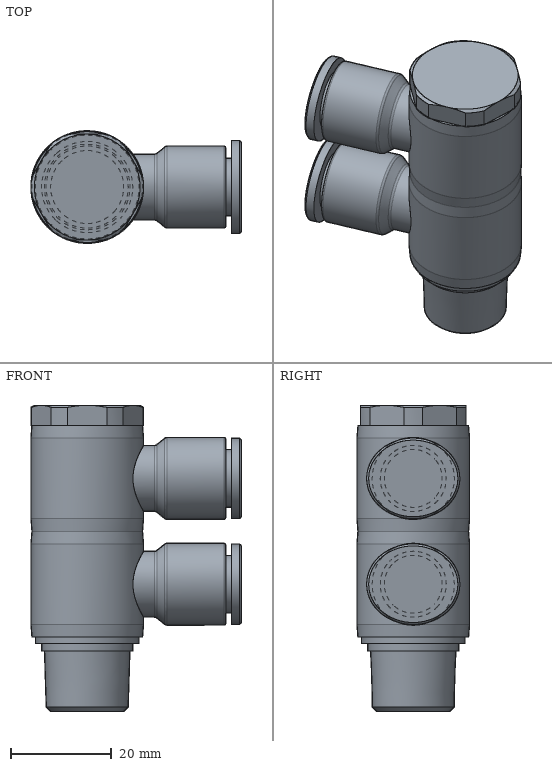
import cadquery as cq
import math

overall_height = 60.8

head_height = 4.0
head_across_flats = 21.0
head_chamfer_angle = 30.0

body_count = 2
body_radius = 11.2
body_end_radius = 11.0
body_straight_length = 16.0
body_taper_length = 2.5
body_length = body_straight_length + 2 * body_taper_length
bodies_top = overall_height - head_height
bodies_bottom = bodies_top - body_count * body_length

washer_radius = 10.3
washer_height = 1.3
shoulder_radius = 9.05
shoulder_height = 1.45

thread_top_radius = 8.5
thread_taper = 1 / 16
thread_chamfer = 0.9

branch_neck_radius = 6.55
branch_radius = 8.15
branch_cone_start = 13.6
branch_cone_end = 15.6
branch_end = 27.5
branch_blend_radius = 0.8
edge_search_margin = 0.1
branch_end_fillet = 0.4

collar_stem_radius = 5.75
collar_start = 28.6
collar_end = 30.65
collar_half_width = 9.25
collar_half_height = 8.0
collar_chamfer = 0.4


def cylinder(radius, bottom, top):
    return cq.Workplane("XY").workplane(offset=bottom).circle(radius).extrude(top - bottom)


def make_head():
    """Hexagon with flats at +-Y, trimmed by a round blank chamfered on top."""
    chamfer_width = body_radius - head_across_flats / 2
    chamfer_depth = chamfer_width * math.tan(math.radians(head_chamfer_angle))
    across_corners = head_across_flats / math.cos(math.pi / 6)
    hexagon = cq.Workplane("XY").workplane(offset=bodies_top).polygon(6, across_corners).extrude(head_height)
    blank = cylinder(body_radius, bodies_top, overall_height)
    blank = blank.faces(">Z").edges().chamfer(chamfer_depth, chamfer_width)
    return hexagon.intersect(blank)


def make_body(bottom):
    """One banjo body, revolved about Z."""
    top = bottom + body_length
    return (
        cq.Workplane("XZ")
        .moveTo(0, bottom)
        .lineTo(body_end_radius, bottom)
        .lineTo(body_radius, bottom + body_taper_length)
        .lineTo(body_radius, top - body_taper_length)
        .lineTo(body_end_radius, top)
        .lineTo(0, top)
        .close()
        .revolve(360, (0, 0, 0), (0, 1, 0))
    )


def make_thread_end():
    """Washer, shoulder and tapered thread below the bodies."""
    washer_bottom = bodies_bottom - washer_height
    thread_top = washer_bottom - shoulder_height
    washer = cylinder(washer_radius, washer_bottom, bodies_bottom)
    shoulder = cylinder(shoulder_radius, thread_top, washer_bottom)
    thread_end_radius = thread_top_radius - (thread_top - thread_chamfer) * thread_taper / 2
    thread = (
        cq.Workplane("XZ")
        .moveTo(0, 0)
        .lineTo(thread_end_radius - thread_chamfer, 0)
        .lineTo(thread_end_radius, thread_chamfer)
        .lineTo(thread_top_radius, thread_top)
        .lineTo(0, thread_top)
        .close()
        .revolve(360, (0, 0, 0), (0, 1, 0))
    )
    return washer.union(shoulder).union(thread)


def make_branch(axis_height):
    """Tube branch along +X with its release collar."""
    sleeve = (
        cq.Workplane("XZ")
        .lineTo(0, branch_neck_radius)
        .lineTo(branch_cone_start, branch_neck_radius)
        .lineTo(branch_cone_end, branch_radius)
        .lineTo(branch_end, branch_radius)
        .lineTo(branch_end, 0)
        .close()
        .revolve(360, (0, 0, 0), (1, 0, 0))
    )
    cone_edges = cq.selectors.BoxSelector(
        (branch_cone_start - edge_search_margin, -branch_radius * 2, -branch_radius * 2),
        (branch_cone_end + edge_search_margin, branch_radius * 2, branch_radius * 2),
        boundingbox=True,
    )
    sleeve = sleeve.edges("%CIRCLE").edges(cone_edges).fillet(branch_blend_radius)
    sleeve = sleeve.faces(">X").edges().fillet(branch_end_fillet)
    stem = cq.Workplane("YZ").workplane(offset=branch_end).circle(collar_stem_radius)
    stem = stem.extrude(collar_start - branch_end)
    collar = (
        cq.Workplane("YZ")
        .workplane(offset=collar_start)
        .ellipse(collar_half_width, collar_half_height)
        .extrude(collar_end - collar_start)
        .faces(">X")
        .edges()
        .chamfer(collar_chamfer)
    )
    return sleeve.union(stem).union(collar).translate((0, 0, axis_height))


result = make_head().union(make_thread_end())
for index in range(body_count):
    body_bottom = bodies_bottom + index * body_length
    result = result.union(make_body(body_bottom))
    result = result.union(make_branch(body_bottom + body_length / 2))